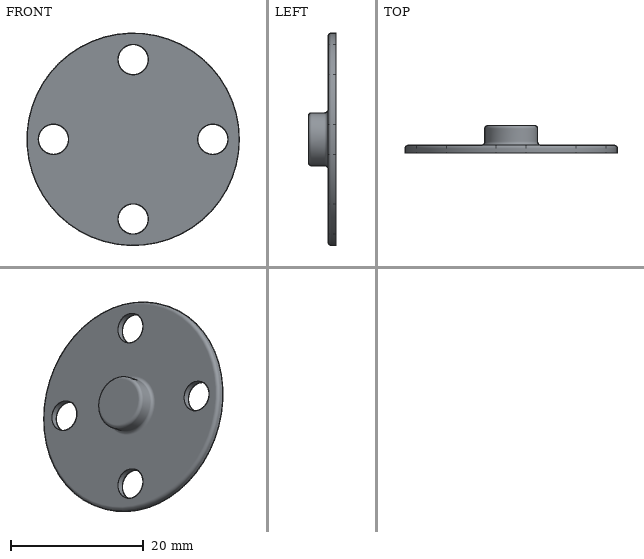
import cadquery as cq

disc_diameter = 32.0
total_depth = 4.2
disc_thickness = 1.2
boss_diameter = 8.0
hole_diameter = 4.5
hole_circle_diameter = 24.0
hole_count = 4
edge_radius = 0.5

disc_radius = disc_diameter / 2
boss_radius = boss_diameter / 2


def rounded_disc_with_boss():
    """Disc with its flat face at Y = 0 and a central boss rising along +Y."""
    disc = cq.Workplane("XZ").circle(disc_radius).extrude(-disc_thickness)
    disc = disc.faces(">Y").edges().fillet(edge_radius)
    boss = cq.Workplane("XZ").circle(boss_radius).extrude(-total_depth)
    boss = boss.faces(">Y").edges().fillet(edge_radius)
    root_box = cq.selectors.BoxSelector(
        (-boss_diameter, disc_thickness - edge_radius / 2, -boss_diameter),
        (boss_diameter, disc_thickness + edge_radius / 2, boss_diameter),
        boundingbox=True,
    )
    return disc.union(boss).edges(root_box).fillet(edge_radius)


def bolt_holes():
    """Cylinders through the disc, equally spaced with one on the X axis."""
    return (
        cq.Workplane("XZ")
        .polarArray(hole_circle_diameter / 2, 0, 360, hole_count)
        .circle(hole_diameter / 2)
        .extrude(-disc_thickness)
    )


result = rounded_disc_with_boss().cut(bolt_holes())